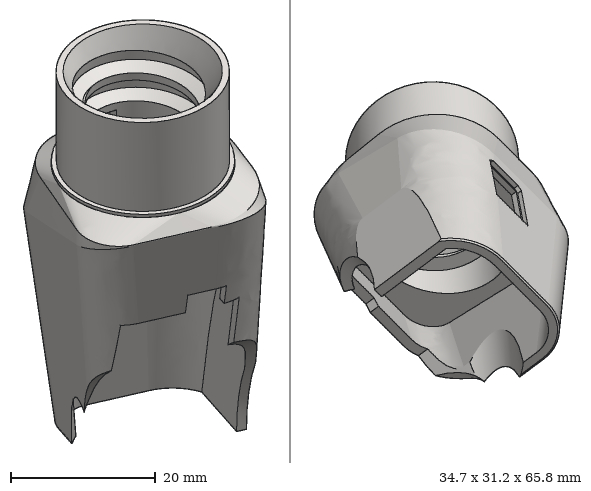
import cadquery as cq
import math

LEFT_BASE, LEFT_DRIFT = 0.0, 0.109
RIGHT_BASE, RIGHT_DRIFT = 23.55, 0.247
BACK_BASE, BACK_DRIFT = 1.5, -0.069
FRONT_BASE, FRONT_DRIFT = -23.8, -0.169
BODY_RADII = (9.55, 10.85, 5.9, 6.25)
WALL = 1.5
BACK_TRIM_Y = 0.0
BASE_CHAMFER = 0.25

CREASE_LEFT_Z = 37.05
CREASE_RIGHT_Z = 45.3

SHOULDER_LEFT, SHOULDER_LEFT_Z = 6.1, 48.0
SHOULDER_RIGHT, SHOULDER_RIGHT_Z = 34.75, 45.5
SHOULDER_BACK = -2.25
SHOULDER_FRONT_LEFT, SHOULDER_FRONT_RIGHT = -30.4, -31.3
SHOULDER_RADII = (11.85, 11.2, 5.9, 9.55)

AXIS = cq.Vector(0.092, -0.044, 1).normalized()
MOUTH_CENTER = cq.Vector(21.7, -18.0, 64.6)
NECK_DIAMETER = 24.0
COLLAR_DIAMETER = 25.4
COLLAR_DEPTH = 15.8
COLLAR_HEIGHT = 0.5
MOUTH_DIAMETER = 22.05
CONE_DEPTH = 5.4
THROAT_DIAMETER = 16.0
THROAT_END_DEPTH = 14.7
BORE_DIAMETER = 20.1
BORE_LENGTH = 72.4

THREAD_PITCH = 4.8
GROOVE_ROOT_DIAMETER = 19.9
GROOVE_ROOT_WIDTH = 1.7
GROOVE_FLANK = 0.9
GROOVE_OVERLAP = 0.3
GROOVE_TOP_DEPTH = 0.8
GROOVE_BOTTOM_DEPTH = 13.7
GROOVE_END_AZIMUTH = 70.0

WINDOW_BACK, WINDOW_FRONT = -9.8, -15.7
WINDOW_BOTTOM, WINDOW_TOP = 22.85, 33.5
RECESS_SIDE = 0.3
RECESS_TOP = 0.65
RECESS_DEPTH = 0.65

OPENING_BACK, OPENING_FRONT = -7.25, -25.35
OPENING_TOP = 30.3
SCOOP_RADIUS = 26.5
SCOOP_EDGE_X = 16.65

CLEARANCE = 19.75
FAR_SIDE = 65.8
ABOVE_PART = 85.55


def rounded_quad(corners, radii):
    """Closed wire through four corners, each rounded with its own radius."""
    starts, middles, ends = [], [], []
    for i, (corner, radius) in enumerate(zip(corners, radii)):
        to_previous = (corners[i - 1] - corner).normalized()
        to_next = (corners[(i + 1) % len(corners)] - corner).normalized()
        half_angle = to_previous.getAngle(to_next) / 2
        tangent_length = radius / math.tan(half_angle)
        bisector = (to_previous + to_next).normalized()
        starts.append(corner + to_previous * tangent_length)
        middles.append(corner + bisector * (radius / math.sin(half_angle) - radius))
        ends.append(corner + to_next * tangent_length)
    edges = []
    for i in range(len(corners)):
        edges.append(cq.Edge.makeThreePointArc(starts[i], middles[i], ends[i]))
        edges.append(cq.Edge.makeLine(ends[i], starts[(i + 1) % len(corners)]))
    return cq.Wire.assembleEdges(edges)


def block_section(left_z, right_z, inset=0.0):
    """Section of the tapered block whose left and right edges lie at the given heights."""
    def corner(x, z, y_base, y_drift, y_inset):
        return cq.Vector(x, y_base + y_drift * z + y_inset, z)

    left = LEFT_BASE + LEFT_DRIFT * left_z + inset
    right = RIGHT_BASE + RIGHT_DRIFT * right_z - inset
    corners = [
        corner(left, left_z, BACK_BASE, BACK_DRIFT, -inset),
        corner(right, right_z, BACK_BASE, BACK_DRIFT, -inset),
        corner(right, right_z, FRONT_BASE, FRONT_DRIFT, inset),
        corner(left, left_z, FRONT_BASE, FRONT_DRIFT, inset),
    ]
    return rounded_quad(corners, [radius - inset for radius in BODY_RADII])


def shoulder_section():
    corners = [
        cq.Vector(SHOULDER_LEFT, SHOULDER_BACK, SHOULDER_LEFT_Z),
        cq.Vector(SHOULDER_RIGHT, SHOULDER_BACK, SHOULDER_RIGHT_Z),
        cq.Vector(SHOULDER_RIGHT, SHOULDER_FRONT_RIGHT, SHOULDER_RIGHT_Z),
        cq.Vector(SHOULDER_LEFT, SHOULDER_FRONT_LEFT, SHOULDER_LEFT_Z),
    ]
    return rounded_quad(corners, SHOULDER_RADII)


def axis_point(depth):
    return MOUTH_CENTER - AXIS * depth


def collar_section():
    """Near-circular wire with the same edge layout as the shoulder, for a clean loft."""
    across = cq.Vector(1, 0, -AXIS.x / AXIS.z).normalized()
    along = AXIS.cross(across)
    half = COLLAR_DIAMETER / 2
    center = axis_point(COLLAR_DEPTH)
    signs = ((-1, 1), (1, 1), (1, -1), (-1, -1))
    corners = [center + across * (half * i) + along * (half * j) for i, j in signs]
    return rounded_quad(corners, [0.99 * half] * len(corners))


def loft(*sections):
    return cq.Workplane(cq.Solid.makeLoft(list(sections), True))


def axis_cylinder(diameter, top_depth, bottom_depth):
    base = axis_point(bottom_depth)
    return cq.Workplane(cq.Solid.makeCylinder(diameter / 2, bottom_depth - top_depth, base, AXIS))


def box(x_range, y_range, z_range):
    size = [high - low for low, high in (x_range, y_range, z_range)]
    return cq.Workplane().box(*size, centered=False).translate((x_range[0], y_range[0], z_range[0]))


def keep_in_front_of(solid, y):
    """Trim away everything behind the upright plane at y."""
    behind = box((-CLEARANCE, FAR_SIDE), (y, y + CLEARANCE), (-CLEARANCE, ABOVE_PART))
    return solid.cut(behind)


def outer_body():
    crease = block_section(CREASE_LEFT_Z, CREASE_RIGHT_Z)
    foot = block_section(0, 0, BASE_CHAMFER)
    lower_rim = block_section(BASE_CHAMFER, BASE_CHAMFER)
    body = loft(foot, lower_rim).union(loft(lower_rim, crease))
    body = keep_in_front_of(body, BACK_TRIM_Y)
    body = body.union(loft(crease, shoulder_section()))
    return body.union(loft(shoulder_section(), collar_section()))


def neck():
    collar = axis_cylinder(COLLAR_DIAMETER, COLLAR_DEPTH - COLLAR_HEIGHT, COLLAR_DEPTH)
    return axis_cylinder(NECK_DIAMETER, 0, COLLAR_DEPTH).union(collar)


def cavity():
    """Hollow that follows the outer block one wall thickness inside it."""
    ceiling = block_section(CREASE_LEFT_Z - WALL, CREASE_RIGHT_Z - WALL, WALL)
    hollow = loft(block_section(0, 0, WALL), ceiling)
    return keep_in_front_of(hollow, BACK_TRIM_Y - WALL)


def neck_bores():
    cone_base = axis_point(CONE_DEPTH)
    cone = cq.Solid.makeCone(THROAT_DIAMETER / 2, MOUTH_DIAMETER / 2, CONE_DEPTH, cone_base, AXIS)
    throat = axis_cylinder(THROAT_DIAMETER, CONE_DEPTH, THROAT_END_DEPTH)
    bore = axis_cylinder(BORE_DIAMETER, THROAT_END_DEPTH, BORE_LENGTH)
    return throat.union(cq.Workplane(cone)).union(bore)


def thread_groove():
    root_radius = GROOVE_ROOT_DIAMETER / 2
    inner_radius = THROAT_DIAMETER / 2 - GROOVE_OVERLAP
    flank_slope = GROOVE_FLANK / (root_radius - THROAT_DIAMETER / 2)
    half_root = GROOVE_ROOT_WIDTH / 2
    half_mouth = half_root + flank_slope * (root_radius - inner_radius)
    height = GROOVE_BOTTOM_DEPTH - GROOVE_TOP_DEPTH
    helix = cq.Wire.makeHelix(THREAD_PITCH, height, root_radius)
    profile = cq.Workplane("XZ").polyline([
        (root_radius, -half_root),
        (root_radius, half_root),
        (inner_radius, half_mouth),
        (inner_radius, -half_mouth),
    ]).close()
    groove = profile.sweep(cq.Workplane(helix), isFrenet=True)
    start_azimuth = GROOVE_END_AZIMUTH - 360 * height / THREAD_PITCH
    groove = groove.rotate((0, 0, 0), (0, 0, 1), start_azimuth)
    seat = cq.Plane(axis_point(GROOVE_BOTTOM_DEPTH), (1, 0, -AXIS.x / AXIS.z), AXIS)
    return cq.Workplane(groove.val().moved(cq.Location(seat)))


def window():
    y_range = (WINDOW_FRONT, WINDOW_BACK)
    slot = box((-CLEARANCE, FAR_SIDE), y_range, (WINDOW_BOTTOM, WINDOW_TOP))
    recess_y = (WINDOW_FRONT - RECESS_SIDE, WINDOW_BACK + RECESS_SIDE)
    recess_z = (WINDOW_BOTTOM - RECESS_SIDE, WINDOW_TOP + RECESS_TOP)
    lean = math.degrees(math.atan(LEFT_DRIFT))
    recess = box((RECESS_DEPTH - CLEARANCE, RECESS_DEPTH), recess_y, recess_z)
    recess = recess.edges("|X and >Z").chamfer(RECESS_TOP)
    middle_z = (WINDOW_BOTTOM + WINDOW_TOP) / 2
    recess = recess.rotate((0, 0, middle_z), (0, 1, middle_z), lean)
    return slot.union(recess.translate((LEFT_DRIFT * middle_z, 0, 0)))


def right_opening():
    scoop_center = SCOOP_EDGE_X + SCOOP_RADIUS
    scoop = cq.Workplane("XZ").center(scoop_center, 0).circle(SCOOP_RADIUS).extrude(FAR_SIDE, both=True)
    opening = box((SCOOP_EDGE_X + WALL, FAR_SIDE), (OPENING_FRONT, OPENING_BACK), (0, OPENING_TOP))
    return scoop.union(opening)


result = outer_body().union(neck())
for void in (cavity(), neck_bores(), thread_groove(), window(), right_opening()):
    result = result.cut(void)